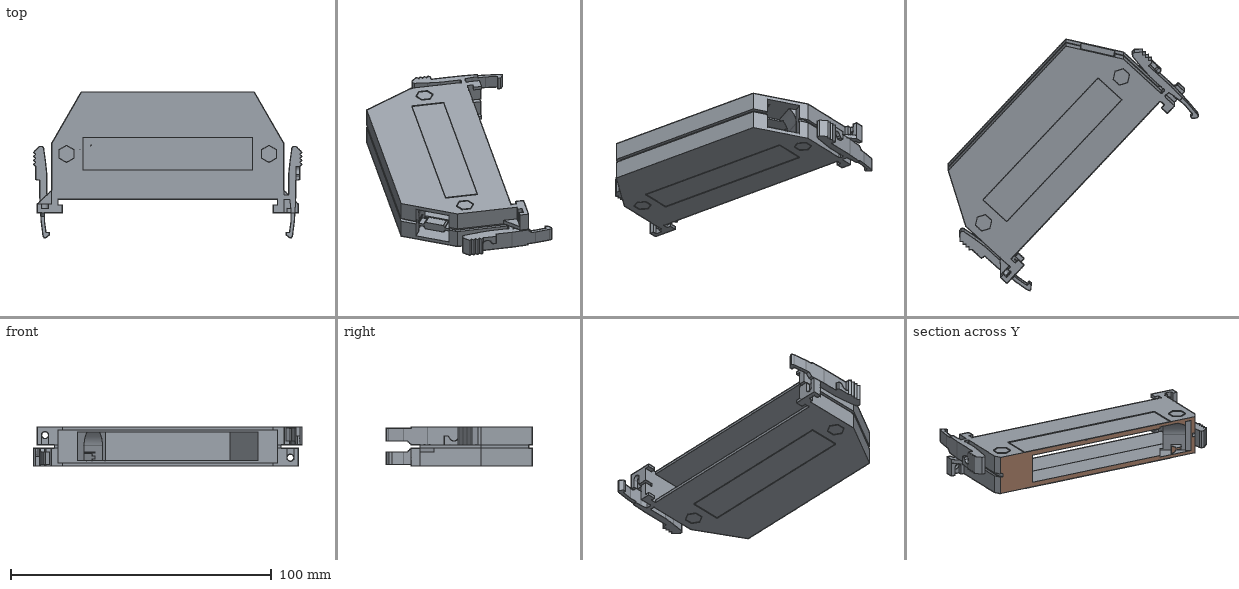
import cadquery as cq
import math

length = 103.0
height = 15.0
depth_back = 46.5
half_height = height / 2
half_gap = 0.6

hood_half_width = 44.5
back_half_width = 33.2
shoulder_y = 26.8
plate_front_y = 5.3
plate_thickness = 1.2
side_wall = 2.5
inner_half_width = hood_half_width - side_wall

tongue_inset = 1.0
tongue_back_inset = 1.3
tongue_front_y = 3.3

cavity_half_height = 5.5
cavity_front_half_width = 34.7
cavity_back_half_width = 23.8
cavity_floor_y = 19.0
cavity_back_y = 37.7

corner_hook_half_opening = 40.4
corner_hook_back_y = 3.1
label_half_length = 32.4
label_front_y = 16.5
label_back_y = 28.9
nut_x = 38.8
nut_y = 22.7
nut_flats = 5.7
recess_depth = 0.3

block_outer_x = 50.1
block_back_y = 3.4
gusset_back_y = 8.8
gusset_thickness = 1.5
hole_diameter = 2.6
hole_x = 47.1
hole_z = 4.3
slot_split_y = 1.8

tooth_tip_x = length / 2
tooth_root_x = 50.7
thumb_end_y = 25.5
first_tooth_y = 23.3
tooth_pitch = 1.5
tooth_count = 4
pad_outer_x = 50.7
pad_back_y = 17.9
hollow_start_z = 3.0
hollow_crown = (16.3, 2.1)
hollow_arc_end = (14.7, 3.3)
ledge_start_y = 14.1
ledge_z = 3.9
pad_front_y = 12.6
arm_outer_x = 49.1
arm_inner_x = 46.4
arm_bend_y = 6.3
lever_inner_curve = [(arm_inner_x, 14.8), (46.9, 19.8), (47.6, 24.8)]
thumb_end_inner_x = 48.0
thumb_end_outer_x = 49.2
tail_root_inner = [(47.2, 2.5), (46.8, plate_front_y)]
tail_bend_outer_x = 48.6
tail_bend_inner_x = 47.3
bridge_back_y = 6.9
bridge_chamfer = 0.3
pad_chamfer_x = 49.9
pad_chamfer_y = 12.9
tail_bend_y = -3.0
hook_back_y = -7.4
hook_front_y = -8.4
hook_inner_x = 45.4
hook_root_x = 46.7
tail_tip_y = -9.6
tail_tip = [(47.9, -8.7), (47.5, tail_tip_y), (46.9, tail_tip_y)]
tail_z_low = 2.1
tail_z_high = 7.0

slant_run = hood_half_width - back_half_width
slant_rise = depth_back - shoulder_y
slant_angle = math.degrees(math.atan2(slant_run, slant_rise))
window_front_y = 29.8
window_back_y = 41.3
window_half_height = 6.1
window_depth = 3.7
bore_radius = 7.0
bore_length = 9.8
bore_shift = 0.2
bore_spring_z = 0.3
clamp_top_z = -2.8
clamp_bottom_z = -5.8
clamp_setback = 1.6
clamp_thickness = 3.9
clamp_back_gap = 2.1
clamp_front_gap = 3.5
clamp_chamfer = 0.6
clamp_tab_height = 1.0
rib_bottom_z = -2.5
rib_height = 0.3
rib_projection = 0.3


def box(x0, x1, y0, y1, z0, z1):
    return cq.Workplane("XY").box(x1 - x0, y1 - y0, z1 - z0, centered=False).translate((x0, y0, z0))


def prism(points, z0, z1):
    return cq.Workplane("XY", origin=(0, 0, z0)).polyline(points).close().extrude(z1 - z0)


def mirrored(points):
    """Complete an outline from its -X half, listed from front to back."""
    return points + [(-x, y) for x, y in reversed(points)]


def shell_body():
    """Plate and walls of the upper shell with its hooks and outer recesses."""
    outline = mirrored([
        (-inner_half_width, 0),
        (-hood_half_width, 0),
        (-hood_half_width, shoulder_y),
        (-back_half_width, depth_back),
    ])
    body = prism(outline, half_gap, half_height)
    body = body.cut(box(-inner_half_width, inner_half_width, 0, plate_front_y, half_gap, half_height))
    plate_z = half_height - plate_thickness
    for x0, x1 in (
        (-inner_half_width, -corner_hook_half_opening),
        (corner_hook_half_opening, inner_half_width),
    ):
        body = body.union(box(x0, x1, 0, corner_hook_back_y, plate_z, half_height))
    recess_z = half_height - recess_depth
    body = body.cut(box(-label_half_length, label_half_length, label_front_y, label_back_y,
                        recess_z, half_height))
    half_facet = 30
    nut_corners = nut_flats / math.cos(math.radians(half_facet))
    for x in (-nut_x, nut_x):
        nut = cq.Workplane("XY", origin=(0, 0, recess_z)).polygon(6, nut_corners).extrude(recess_depth)
        body = body.cut(nut.rotate((0, 0, 0), (0, 0, 1), half_facet).translate((x, nut_y, 0)))
    return body


def catch_block():
    """Block with a gusset and a stepped slot that takes the tail of a mating clip."""
    block = box(-block_outer_x, -hood_half_width, 0, block_back_y, half_gap, half_height)
    gusset = prism(
        [
            (-block_outer_x, block_back_y),
            (-hood_half_width, block_back_y),
            (-hood_half_width, gusset_back_y),
        ],
        half_gap, half_gap + gusset_thickness,
    )
    radius = hole_diameter / 2
    hole = cq.Workplane("XZ").center(-hole_x, hole_z).circle(radius).extrude(-block_back_y)
    front_slot = box(-hole_x - radius, -hole_x + radius, 0, slot_split_y, half_gap, hole_z)
    back_slot = box(-hole_x - radius, -hole_x + radius, slot_split_y, block_back_y, hole_z, half_height)
    return block.cut(hole).cut(front_slot).cut(back_slot).union(gusset)


def spring_clip():
    """Bowed lever with thumb teeth, bridged to the side wall and ending in a hooked tail."""
    teeth = []
    for i in range(tooth_count):
        tip_y = first_tooth_y - i * tooth_pitch
        teeth += [(tooth_tip_x, tip_y), (tooth_root_x, tip_y - tooth_pitch / 2)]
    clip = prism(
        [
            (arm_inner_x - bridge_chamfer, bridge_back_y),
            (arm_inner_x, bridge_back_y + bridge_chamfer),
            *lever_inner_curve,
            (thumb_end_inner_x, thumb_end_y),
            (thumb_end_outer_x, thumb_end_y),
            *teeth,
            (pad_outer_x, pad_chamfer_y),
            (pad_chamfer_x, pad_front_y),
            (arm_outer_x, pad_front_y),
            (arm_outer_x, arm_bend_y),
            (tail_bend_outer_x, tail_bend_y),
            *tail_tip,
            (hook_inner_x, hook_front_y),
            (hook_inner_x, hook_back_y),
            (hook_root_x, hook_back_y),
            (tail_bend_inner_x, tail_bend_y),
            *tail_root_inner,
            (hood_half_width + bridge_chamfer, plate_front_y),
            (hood_half_width, plate_front_y - bridge_chamfer),
            (hood_half_width, bridge_back_y + bridge_chamfer),
            (hood_half_width + bridge_chamfer, bridge_back_y),
        ],
        half_gap, half_height,
    )
    hollow = (
        cq.Workplane("YZ", origin=(arm_outer_x, 0, 0))
        .moveTo(pad_back_y, half_height)
        .lineTo(pad_back_y, hollow_start_z)
        .threePointArc(hollow_crown, hollow_arc_end)
        .lineTo(ledge_start_y, ledge_z)
        .lineTo(pad_front_y, ledge_z)
        .lineTo(pad_front_y, half_height)
        .close()
        .extrude(tooth_tip_x - arm_outer_x)
    )
    above_tail = box(hood_half_width, tooth_tip_x, tail_tip_y, 0, tail_z_high, half_height)
    taper = tail_z_low - half_gap
    below_tail = (
        cq.Workplane("YZ", origin=(hood_half_width, 0, 0))
        .polyline([(0, half_gap), (-taper, tail_z_low), (tail_tip_y, tail_z_low), (tail_tip_y, half_gap)])
        .close()
        .extrude(tooth_tip_x - hood_half_width)
    )
    return clip.cut(hollow).cut(above_tail).cut(below_tail)


def tongue():
    """Slab between the shells that closes the parting gap inside the outline."""
    return prism(
        mirrored([
            (-hood_half_width + tongue_inset, tongue_front_y),
            (-hood_half_width + tongue_inset, shoulder_y),
            (-back_half_width + tongue_inset, depth_back - tongue_back_inset),
        ]),
        -half_gap, half_gap,
    )


def cavity():
    """Connector mouth and the shallower tapering chamber behind it."""
    mouth_half_height = half_height - plate_thickness
    mouth = box(-inner_half_width, inner_half_width, 0, cavity_floor_y,
                -mouth_half_height, mouth_half_height)
    inner = prism(
        mirrored([
            (-cavity_front_half_width, cavity_floor_y),
            (-cavity_back_half_width, cavity_back_y),
        ]),
        -cavity_half_height, cavity_half_height,
    )
    return mouth.union(inner)


def on_slanted_wall(shape):
    """Move a shape from local axes (X into the wall, Y along it) to the window centre."""
    middle_y = (window_front_y + window_back_y) / 2
    middle_x = -hood_half_width + (middle_y - shoulder_y) * slant_run / slant_rise
    return shape.rotate((0, 0, 0), (0, 0, 1), -slant_angle).translate((middle_x, middle_y, 0))


window_half_width = (window_back_y - window_front_y) / 2 / math.cos(math.radians(slant_angle))


def cable_opening():
    """Rectangular window and the arched bore from its floor to the cavity."""
    window = box(-window_depth, window_depth, -window_half_width, window_half_width,
                 -window_half_height, window_half_height)
    bore = (
        cq.Workplane("YZ", origin=(window_depth, bore_shift, 0))
        .moveTo(-bore_radius, -window_half_height)
        .lineTo(-bore_radius, bore_spring_z)
        .threePointArc((0, bore_spring_z + bore_radius), (bore_radius, bore_spring_z))
        .lineTo(bore_radius, -window_half_height)
        .close()
        .extrude(bore_length)
    )
    limit = box(0, window_depth + bore_length, -2 * bore_radius, 2 * bore_radius,
                -window_half_height, window_half_height)
    return on_slanted_wall(window.union(bore.intersect(limit)))


def cable_clamp():
    """Chamfered bar held across the bore by a tab at each end, with a rib above the back tab."""
    x0 = window_depth + clamp_setback
    x1 = x0 + clamp_thickness
    front_jamb = bore_shift - bore_radius
    back_jamb = bore_shift + bore_radius
    middle_z = (clamp_top_z + clamp_bottom_z) / 2
    bar = box(x0, x1, front_jamb + clamp_front_gap, back_jamb - clamp_back_gap, clamp_bottom_z, clamp_top_z)
    bar = bar.edges("|X").chamfer(clamp_chamfer)
    tabs = box(x0, x1, front_jamb, back_jamb,
               middle_z - clamp_tab_height / 2, middle_z + clamp_tab_height / 2)
    rib = box(window_depth, x1, back_jamb - rib_projection, back_jamb,
              rib_bottom_z, rib_bottom_z + rib_height)
    return on_slanted_wall(bar.union(tabs).union(rib))


upper_shell = shell_body().union(catch_block()).union(spring_clip())
lower_shell = upper_shell.rotate((0, 0, 0), (0, 1, 0), 180)
result = (
    upper_shell.union(lower_shell)
    .union(tongue())
    .cut(cavity())
    .cut(cable_opening())
    .union(cable_clamp())
)